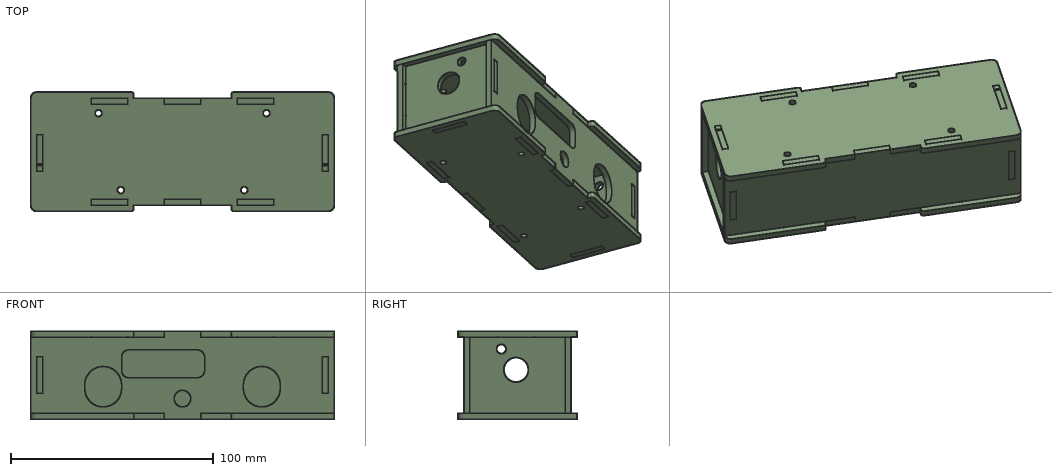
import cadquery as cq

LENGTH = 150.0
COVER_DEPTH = 59.0
HEIGHT = 43.6
SHEET = 3.0

COVER_OVERHANG = 3.0
CORNER_RADIUS = 3.0
WAIST_LENGTH = 48.2
WAIST_CORNER_RADIUS = 1.3
MOUTH_RADIUS = 1.25
SCREW_DIAMETER = 3.2
SCREW_Y = 19.0
BACK_SCREW_X = 41.5
FRONT_SCREW_X = 30.5

BODY_DEPTH = COVER_DEPTH - 2 * COVER_OVERHANG
WALL_HEIGHT = HEIGHT - 2 * SHEET
COVER_Z = (HEIGHT - SHEET) / 2
WALL_Y = (BODY_DEPTH - SHEET) / 2
END_INSET = 3.0
END_X = (LENGTH - SHEET) / 2 - END_INSET
END_CENTER_Y = -0.7

TAB_LENGTH = 18.0
SIDE_TAB_X = 36.0
GROOVE_Y = -6.5
GROOVE_WIDTH = 0.9
GROOVE_DEPTH = 0.4

SENSOR_X = 39.2
SENSOR_Z = -5.7
SENSOR_WIDTH = 18.2
SENSOR_HEIGHT = 20.0
WINDOW_X = -9.6
WINDOW_Z = 5.6
WINDOW_LENGTH = 41.0
WINDOW_HEIGHT = 13.7
WINDOW_RADIUS = 3.5
BUTTON_DIAMETER = 8.2
BUTTON_Z = -11.6

CABLE_DIAMETER = 12.0
CABLE_Z = 2.65
PIN_DIAMETER = 4.5
PIN_Y = -8.0
PIN_Z = 12.9

SIDES = (-1, 1)
EDGE_REACH = 0.1


def block(size_x, size_y, size_z, x=0.0, y=0.0, z=0.0):
    """Box centred at the given point."""
    return cq.Workplane("XY").box(size_x, size_y, size_z).translate((x, y, z))


def round_vertical_edges(body, points, radius):
    """Fillet the vertical edges of a body that stand at the given x, y points."""
    picked = cq.Workplane("XY")
    for x, y in points:
        near = cq.selectors.BoxSelector(
            (x - EDGE_REACH, y - EDGE_REACH, -HEIGHT),
            (x + EDGE_REACH, y + EDGE_REACH, HEIGHT),
        )
        picked = picked.add(body.edges("|Z").edges(near))
    return body.newObject(picked.vals()).fillet(radius)


def cover(z):
    """Plate with a narrowed waist, slots for the wall tabs and four screw holes."""
    plate = block(LENGTH, COVER_DEPTH, SHEET, z=z).edges("|Z").fillet(CORNER_RADIUS)
    for side in SIDES:
        waist_y = side * (COVER_DEPTH - COVER_OVERHANG) / 2
        plate = plate.cut(block(WAIST_LENGTH, COVER_OVERHANG, SHEET, y=waist_y, z=z))
    waist_corners = [(a * WAIST_LENGTH / 2, b * COVER_DEPTH / 2) for a in SIDES for b in SIDES]
    plate = round_vertical_edges(plate, waist_corners, WAIST_CORNER_RADIUS)

    for side in SIDES:
        for x in (-SIDE_TAB_X, 0, SIDE_TAB_X):
            plate = plate.cut(block(TAB_LENGTH, SHEET, SHEET, x=x, y=side * WALL_Y, z=z))
        plate = plate.cut(block(SHEET, TAB_LENGTH, SHEET, x=side * END_X, y=END_CENTER_Y, z=z))

    screw_points = [(side * BACK_SCREW_X, SCREW_Y) for side in SIDES]
    screw_points += [(side * FRONT_SCREW_X, -SCREW_Y) for side in SIDES]
    screws = (
        cq.Workplane("XY", origin=(0, 0, z - SHEET / 2))
        .pushPoints(screw_points)
        .circle(SCREW_DIAMETER / 2)
        .extrude(SHEET)
    )
    return plate.cut(screws)


def bottom_cover():
    """Cover whose front middle slot opens with rounded corners."""
    mouth_corners = [(side * TAB_LENGTH / 2, -BODY_DEPTH / 2) for side in SIDES]
    return round_vertical_edges(cover(-COVER_Z), mouth_corners, MOUTH_RADIUS)


def side_wall(side):
    """Full-length wall with three tabs at the top and bottom and a slot near each end."""
    y = side * WALL_Y
    wall = block(LENGTH, SHEET, WALL_HEIGHT, y=y)
    for x in (-SIDE_TAB_X, 0, SIDE_TAB_X):
        wall = wall.union(block(TAB_LENGTH, SHEET, HEIGHT, x=x, y=y))
    for end in SIDES:
        wall = wall.cut(block(SHEET, SHEET, TAB_LENGTH, x=end * END_X, y=y))
    return wall


def front_wall():
    """Side wall with two tall sensor openings, a rounded window and a button hole."""
    inner_face = cq.Workplane("XZ", origin=(0, SHEET / 2 - WALL_Y, 0))
    sensors = (
        inner_face.pushPoints([(side * SENSOR_X, SENSOR_Z) for side in SIDES])
        .slot2D(SENSOR_HEIGHT, SENSOR_WIDTH, 90)
        .extrude(SHEET)
    )
    window = (
        inner_face.center(WINDOW_X, WINDOW_Z)
        .rect(WINDOW_LENGTH, WINDOW_HEIGHT)
        .extrude(SHEET)
        .edges("|Y")
        .fillet(WINDOW_RADIUS)
    )
    button = inner_face.center(0, BUTTON_Z).circle(BUTTON_DIAMETER / 2).extrude(SHEET)
    return side_wall(-1).cut(sensors).cut(window).cut(button)


def end_wall(end):
    """Wall between the side walls, with a tab on each edge, two holes and a grooved top tab."""
    x = end * END_X
    wall = block(SHEET, BODY_DEPTH - 2 * SHEET, WALL_HEIGHT, x=x)
    wall = wall.union(block(SHEET, BODY_DEPTH, TAB_LENGTH, x=x))
    wall = wall.union(block(SHEET, TAB_LENGTH, HEIGHT, x=x, y=END_CENTER_Y))

    left_face = cq.Workplane("YZ", origin=(x - SHEET / 2, 0, 0))
    cable = left_face.center(END_CENTER_Y, CABLE_Z).circle(CABLE_DIAMETER / 2).extrude(SHEET)
    pin = left_face.center(PIN_Y, PIN_Z).circle(PIN_DIAMETER / 2).extrude(SHEET)
    groove = (
        left_face.center(GROOVE_Y, HEIGHT / 2)
        .moveTo(-GROOVE_WIDTH / 2, 0)
        .lineTo(GROOVE_WIDTH / 2, 0)
        .lineTo(0, -GROOVE_DEPTH)
        .close()
        .extrude(SHEET)
    )
    return wall.cut(cable).cut(pin).cut(groove)


top_plate = cover(COVER_Z)
bottom_plate = bottom_cover()
front = front_wall()
back = side_wall(1)
end_walls = [end_wall(end) for end in SIDES]

result = cq.Compound.makeCompound(
    [top_plate.val(), bottom_plate.val(), front.val(), back.val(), *[wall.val() for wall in end_walls]]
)